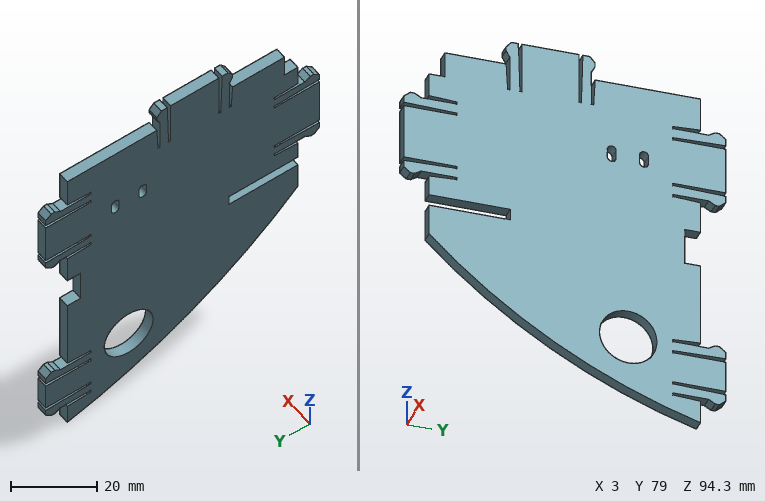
import cadquery as cq
import math

thickness = 3.0
total_width = 79.0
total_height = 94.3

side_projection = 6.2
top_projection = 6.1
root_depth = 6.8
wide_tongue = 13.95
medium_tongue = 11.9
narrow_tongue = 7.9
medium_tab_z = 69.8
narrow_tab_z = 13.8
short_side_tab_z = 64.8
top_tab_y = 29.8

inner_gap_root = 0.6
inner_gap_tip = 0.9
arm_outer = 3.0
arm_tip_outer = 2.6
barb_peak = 4.0
recess_root = 3.6
recess_mouth = 4.0

barb_start = 2.0
barb_peak_start = 3.6
barb_peak_end = 4.6

plate_width = total_width - 2 * side_projection
plate_height = total_height - top_projection
short_side_bottom = 38.1
edge_radius = 150.8
corner_step_width = 3.9
corner_step_height = 6.5

notch_depth = 3.9
notch_bottom = 42.7
notch_height = 9.1
slot_length = 19.9
slot_bottom = 45.9
slot_height = 2.8

round_hole_diameter = 14.0
round_hole_center = (48.8, 19.8)
oblong_width = 2.2
oblong_height = 4.15
oblong_z = 68.9
oblong_ys = (44.8, 52.7)


def extrude_outline(points):
    return cq.Workplane("YZ").polyline(points).close().extrude(thickness)


def block(y, z, width, height):
    """Plate-thick rectangle with its low-Y, low-Z corner at (y, z)."""
    return cq.Workplane("YZ").rect(width, height, centered=False).extrude(thickness).translate((0, y, z))


def make_plate():
    """Plate with one bowed edge and a stepped upper corner."""
    chord = math.hypot(plate_width, short_side_bottom)
    sagitta = edge_radius - math.sqrt(edge_radius**2 - (chord / 2) ** 2)
    bow_middle = (
        plate_width / 2 - sagitta * short_side_bottom / chord,
        short_side_bottom / 2 - sagitta * plate_width / chord,
    )
    step_z = plate_height - corner_step_height
    return (
        cq.Workplane("YZ")
        .moveTo(plate_width, 0)
        .lineTo(plate_width, plate_height)
        .lineTo(corner_step_width, plate_height)
        .lineTo(corner_step_width, step_z)
        .lineTo(0, step_z)
        .lineTo(0, short_side_bottom)
        .threePointArc(bow_middle, (plate_width, 0))
        .close()
        .extrude(thickness)
    )


def add_tab(plate, edge_point, outward_angle, tongue_width, projection):
    """Cut a flared recess into an edge, then fill it with a tongue and two barbed arms."""
    half = tongue_width / 2

    def place(shape):
        turned = shape.rotate((0, 0, 0), (1, 0, 0), outward_angle)
        return turned.translate((0, edge_point[0], edge_point[1]))

    recess = extrude_outline([
        (-root_depth, -half - recess_root),
        (0, -half - recess_mouth),
        (0, half + recess_mouth),
        (-root_depth, half + recess_root),
    ])
    tongue = block(-root_depth, -half, root_depth + projection, tongue_width)
    arm = extrude_outline([
        (-root_depth, half + inner_gap_root),
        (projection, half + inner_gap_tip),
        (projection, half + arm_tip_outer),
        (barb_peak_end, half + barb_peak),
        (barb_peak_start, half + barb_peak),
        (barb_start, half + arm_outer),
        (-root_depth, half + arm_outer),
    ])
    plate = plate.cut(place(recess))
    for piece in (tongue, arm, arm.mirror("XY")):
        plate = plate.union(place(piece))
    return plate


result = make_plate()

tabs = [
    ((plate_width, medium_tab_z), 0, medium_tongue, side_projection),
    ((plate_width, narrow_tab_z), 0, narrow_tongue, side_projection),
    ((top_tab_y, plate_height), 90, wide_tongue, top_projection),
    ((0, short_side_tab_z), 180, wide_tongue, side_projection),
]
for edge_point, outward_angle, tongue_width, projection in tabs:
    result = add_tab(result, edge_point, outward_angle, tongue_width, projection)

result = result.cut(block(plate_width - notch_depth, notch_bottom, notch_depth, notch_height))
result = result.cut(block(0, slot_bottom, slot_length, slot_height))

round_hole = (
    cq.Workplane("YZ").center(*round_hole_center).circle(round_hole_diameter / 2).extrude(thickness)
)
oblong_holes = (
    cq.Workplane("YZ")
    .pushPoints([(y, oblong_z) for y in oblong_ys])
    .slot2D(oblong_height, oblong_width, 90)
    .extrude(thickness)
)
result = result.cut(round_hole).cut(oblong_holes)